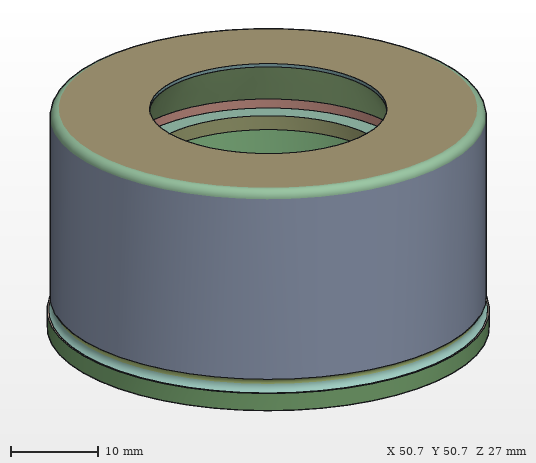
import cadquery as cq

height = 27.0
flange_radius = 25.35
flange_height = 2.15
body_radius = 25.0
top_fillet = 1.0

neck_waist_radius = 24.6
neck_foot_radius = 25.15
neck_waist_height = 3.0
neck_top_height = 3.75

opening_radius = 13.6
lip_depth = 0.4
seat_radius = 16.9
cone_depth = 5.75
seat_depth = 6.85
collar_radius = 14.55
collar_depth = 8.55
cavity_radius = 19.1


def waist_arc_radius(end_radius, end_height):
    """Radius of the arc that is vertical at the waist and passes through the given end."""
    rise = end_height - neck_waist_height
    flare = end_radius - neck_waist_radius
    return (rise**2 + flare**2) / (2 * flare)


lower_neck_arc = waist_arc_radius(neck_foot_radius, flange_height)
upper_neck_arc = waist_arc_radius(body_radius, neck_top_height)

section = (
    cq.Workplane("XZ")
    .moveTo(cavity_radius, 0)
    .lineTo(flange_radius, 0)
    .lineTo(flange_radius, flange_height)
    .lineTo(neck_foot_radius, flange_height)
    .radiusArc((neck_waist_radius, neck_waist_height), lower_neck_arc)
    .radiusArc((body_radius, neck_top_height), upper_neck_arc)
    .lineTo(body_radius, height - top_fillet)
    .radiusArc((body_radius - top_fillet, height), -top_fillet)
    .lineTo(opening_radius, height)
    .lineTo(opening_radius, height - lip_depth)
    .lineTo(seat_radius, height - cone_depth)
    .lineTo(seat_radius, height - seat_depth)
    .lineTo(collar_radius, height - seat_depth)
    .lineTo(collar_radius, height - collar_depth)
    .lineTo(cavity_radius, height - collar_depth)
    .close()
)

result = section.revolve(360, (0, 0, 0), (0, 1, 0))